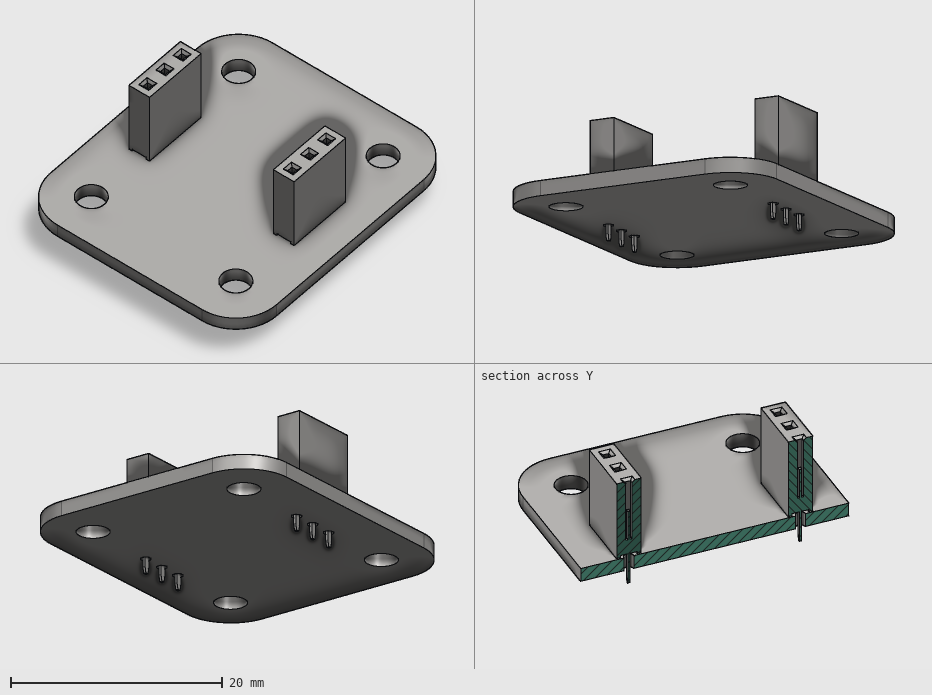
import cadquery as cq

BOARD_WIDTH = 27.75
BOARD_LENGTH = 31.85
BOARD_THICKNESS = 1.5
CORNER_RADIUS = 5.0
MOUNTING_HOLE_DIAMETER = 3.2
PIN_HOLE_DIAMETER = 1.0

PIN_COUNT = 3
PIN_PITCH = 2.55
HEADER_WIDTH = PIN_PITCH
HEADER_LENGTH = PIN_COUNT * PIN_PITCH
HEADER_HEIGHT = 8.5
HEADER_CLEARANCE = 0.1

FOOT_WIDTH = 0.4
CHANNEL_HEIGHT = 0.22

PIN_THICKNESS = 0.25
PIN_WIDTH = 0.6
PIN_PROJECTION = 1.5
TIP_LENGTH = 0.65
TIP_WIDTH = 0.32

MOUTH_SIZE = 1.2
WELL_SIZE = PIN_WIDTH
MOUTH_DEPTH = 0.25
WELL_DEPTH = 6.37
CONTACT_HEIGHT = 3.18

HOLE_X = BOARD_WIDTH / 2 - CORNER_RADIUS
HOLE_Y = BOARD_LENGTH / 2 - CORNER_RADIUS
HEADER_X_POSITIONS = [-HOLE_X, HOLE_X]
PIN_Y_POSITIONS = [(i - (PIN_COUNT - 1) / 2) * PIN_PITCH for i in range(PIN_COUNT)]

HEADER_BOTTOM = BOARD_THICKNESS + HEADER_CLEARANCE
HEADER_TOP = HEADER_BOTTOM + HEADER_HEIGHT
WELL_TOP = HEADER_TOP - MOUTH_DEPTH
WELL_FLOOR = WELL_TOP - WELL_DEPTH


def box_from(x, y, z, width, length, height):
    """Box centred on (x, y) that rises from height z."""
    return cq.Workplane().box(width, length, height, centered=(True, True, False)).translate((x, y, z))


def make_board():
    """Rounded plate with four mounting holes and a round hole for each pin."""
    plate = box_from(0, 0, 0, BOARD_WIDTH, BOARD_LENGTH, BOARD_THICKNESS).edges("|Z").fillet(CORNER_RADIUS)
    mounting_holes = (
        cq.Workplane()
        .rect(2 * HOLE_X, 2 * HOLE_Y, forConstruction=True)
        .vertices()
        .circle(MOUNTING_HOLE_DIAMETER / 2)
        .extrude(BOARD_THICKNESS)
    )
    pin_holes = (
        cq.Workplane()
        .pushPoints([(x, y) for x in HEADER_X_POSITIONS for y in PIN_Y_POSITIONS])
        .circle(PIN_HOLE_DIAMETER / 2)
        .extrude(BOARD_THICKNESS)
    )
    return plate.cut(mounting_holes).cut(pin_holes)


def make_socket_void(x, y):
    """Space for a mating pin: tapered mouth leading into a straight well."""
    mouth = (
        cq.Workplane(origin=(x, y, WELL_TOP))
        .rect(WELL_SIZE, WELL_SIZE)
        .workplane(offset=MOUTH_DEPTH)
        .rect(MOUTH_SIZE, MOUTH_SIZE)
        .loft(ruled=True)
    )
    well = box_from(x, y, WELL_FLOOR, WELL_SIZE, WELL_SIZE, WELL_DEPTH)
    return mouth.union(well)


def make_pin(x, y):
    """Flat pin from inside the well down through the board, with a narrowing tip."""
    pin_top = WELL_FLOOR + CONTACT_HEIGHT
    tip_start = TIP_LENGTH - PIN_PROJECTION
    side = PIN_WIDTH / 2
    tip_side = TIP_WIDTH / 2
    outline = [
        (-side, pin_top),
        (-side, tip_start),
        (-tip_side, -PIN_PROJECTION),
        (tip_side, -PIN_PROJECTION),
        (side, tip_start),
        (side, pin_top),
    ]
    return (
        cq.Workplane("YZ", origin=(x, y, 0))
        .polyline(outline)
        .close()
        .extrude(PIN_THICKNESS / 2, both=True)
    )


def make_header(x):
    """Socket header above the board, with its pins as part of the body."""
    header = box_from(x, 0, HEADER_BOTTOM, HEADER_WIDTH, HEADER_LENGTH, HEADER_HEIGHT)
    channel_width = HEADER_WIDTH - 2 * FOOT_WIDTH
    header = header.cut(box_from(x, 0, HEADER_BOTTOM, channel_width, HEADER_LENGTH, CHANNEL_HEIGHT))
    for y in PIN_Y_POSITIONS:
        header = header.cut(make_socket_void(x, y)).union(make_pin(x, y))
    return header


board = make_board()
headers = [make_header(x) for x in HEADER_X_POSITIONS]

result = cq.Compound.makeCompound([board.val(), *[header.val() for header in headers]])